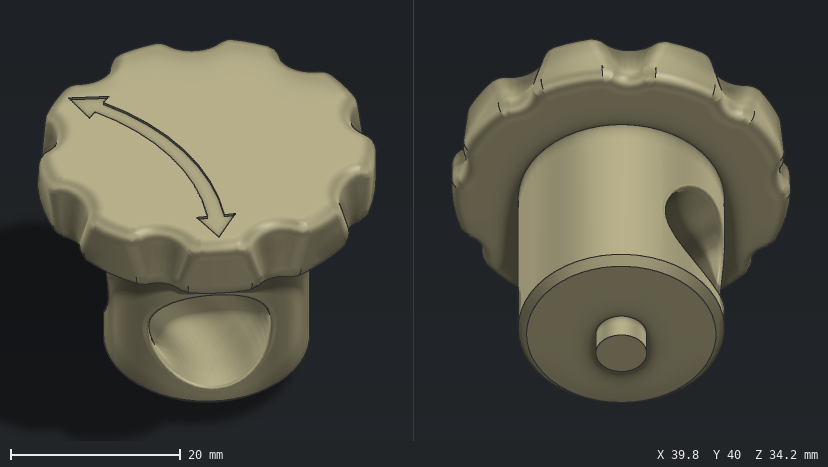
import cadquery as cq
import math

head_radius = 20.0
head_height = 8.0
notch_count = 9
notch_center_radius = 21.7
notch_top_radius = 4.4
notch_taper = 15.0
head_fillet = 2.0

stem_diameter = 24.35
stem_length = 23.0
stem_chamfer = 1.0

pin_diameter = 6.0
pin_length = 3.2

symmetry_angle = 240.0
half_span = 60.0

bore_radius = 7.0
bore_height = 10.0
bore_fillet = 0.5

arrow_bend_radius = 28.0
arrow_tip_radius = head_radius - head_fillet
arrow_shaft_half_width = 1.0
arrow_head_half_width = 2.3
arrow_head_length = 4.0
arrow_depth = 0.3

head_top = stem_length + head_height

stem_radius = stem_diameter / 2
bore_bend_radius = stem_radius * math.tan(math.radians(half_span))
bore_center_distance = stem_radius / math.cos(math.radians(half_span))

tip_along_axis = arrow_tip_radius * math.cos(math.radians(half_span))
tip_across_axis = arrow_tip_radius * math.sin(math.radians(half_span))
arrow_center_distance = tip_along_axis + math.sqrt(arrow_bend_radius**2 - tip_across_axis**2)


def polar_point(radius, angle):
    """XY point at a radius and an angle in degrees about the part axis."""
    return radius * math.cos(math.radians(angle)), radius * math.sin(math.radians(angle))


def make_head():
    """Disc with tapered notches around the rim and every edge rounded."""
    disc = cq.Workplane("XY").workplane(offset=stem_length).circle(head_radius).extrude(head_height)
    cutter = (
        cq.Workplane("XY")
        .workplane(offset=head_top)
        .center(notch_center_radius, 0)
        .circle(notch_top_radius)
        .extrude(-head_height, taper=notch_taper)
    )
    for index in range(notch_count):
        disc = disc.cut(cutter.rotate((0, 0, 0), (0, 0, 1), index * 360 / notch_count))
    return disc.edges().fillet(head_fillet)


def make_stem():
    """Chamfered cylinder crossed by the curved bore, with rounded bore mouths."""
    stem = cq.Workplane("XY").circle(stem_radius).extrude(stem_length)
    stem = stem.faces("<Z").edges().chamfer(stem_chamfer)
    bend_x, bend_y = polar_point(bore_center_distance, symmetry_angle)
    bend_center = cq.Vector(bend_x, bend_y, bore_height)
    bore = cq.Workplane(cq.Solid.makeTorus(bore_bend_radius, bore_radius, bend_center))
    stem = stem.cut(bore)
    mouth_edges = stem.faces("%TORUS").edges("not(%CIRCLE)")
    return mouth_edges.fillet(bore_fillet)


def make_pin():
    return cq.Workplane("XY").circle(pin_diameter / 2).extrude(-pin_length)


def arrow_point(radius, angle):
    """Point about the arrow's bend center; the angle is measured from the arrow's middle."""
    center_x, center_y = polar_point(arrow_center_distance, symmetry_angle)
    offset_x, offset_y = polar_point(radius, symmetry_angle + 180 + angle)
    return center_x + offset_x, center_y + offset_y


def make_arrow_cutter():
    """Curved arrow with a barbed head at each end."""
    tip_angle = math.degrees(math.asin(tip_across_axis / arrow_bend_radius))
    barb_angle = tip_angle - math.degrees(arrow_head_length / arrow_bend_radius)
    shaft_outer = arrow_bend_radius + arrow_shaft_half_width
    shaft_inner = arrow_bend_radius - arrow_shaft_half_width
    barb_outer = arrow_bend_radius + arrow_head_half_width
    barb_inner = arrow_bend_radius - arrow_head_half_width
    outline = (
        cq.Workplane("XY")
        .workplane(offset=head_top)
        .moveTo(*arrow_point(arrow_bend_radius, -tip_angle))
        .lineTo(*arrow_point(barb_outer, -barb_angle))
        .lineTo(*arrow_point(shaft_outer, -barb_angle))
        .threePointArc(arrow_point(shaft_outer, 0), arrow_point(shaft_outer, barb_angle))
        .lineTo(*arrow_point(barb_outer, barb_angle))
        .lineTo(*arrow_point(arrow_bend_radius, tip_angle))
        .lineTo(*arrow_point(barb_inner, barb_angle))
        .lineTo(*arrow_point(shaft_inner, barb_angle))
        .threePointArc(arrow_point(shaft_inner, 0), arrow_point(shaft_inner, -barb_angle))
        .lineTo(*arrow_point(barb_inner, -barb_angle))
        .close()
    )
    return outline.extrude(-arrow_depth)


head = make_head().cut(make_arrow_cutter())
result = head.union(make_stem()).union(make_pin())